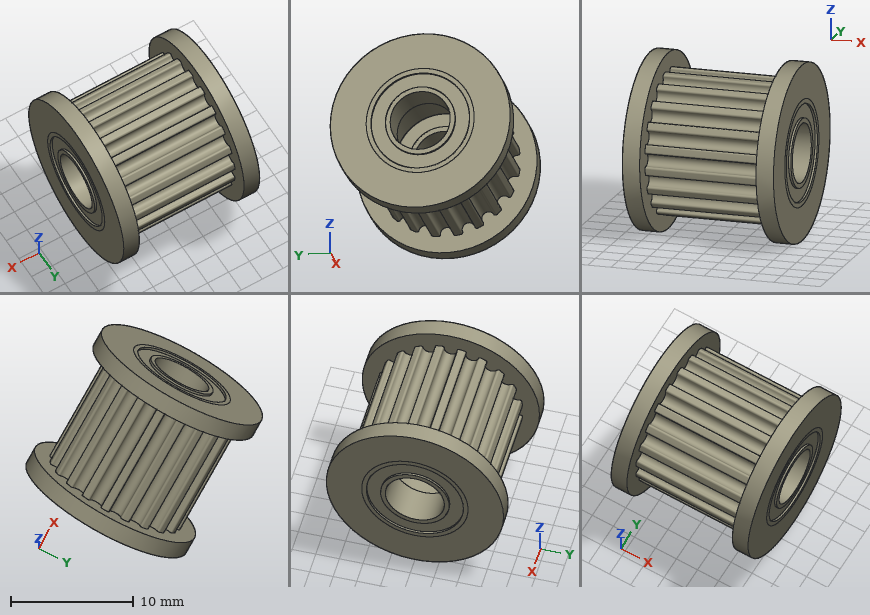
import cadquery as cq
import math


flange_diameter = 15.0
flange_width = 1.5
tooth_face_width = 10.0
pulley_width = tooth_face_width + 2 * flange_width
through_bore_diameter = 8.0

tooth_count = 20
tooth_pitch_angle = 2 * math.pi / tooth_count
tip_diameter = 12.22
tip_radius = tip_diameter / 2
groove_depth = 0.8
groove_diameter = 1.1
groove_radius = groove_diameter / 2
tooth_corner_radius = 0.16

bearing_outer_diameter = 9.0
bearing_bore_diameter = 5.0
bearing_width = 3.0
shield_outer_diameter = 8.2
shield_inner_diameter = 5.8
shield_recess = 0.2

bearing_starts = (-pulley_width / 2, pulley_width / 2 - bearing_width)


def cylinder_x(diameter, start_x, length):
    """Cylinder along X, starting at start_x and running towards +X."""
    return cq.Workplane("YZ", origin=(start_x, 0, 0)).circle(diameter / 2).extrude(length)


def ring_x(outer_diameter, inner_diameter, start_x, length):
    """Ring along X, starting at start_x and running towards +X."""
    profile = cq.Workplane("YZ", origin=(start_x, 0, 0)).circle(outer_diameter / 2).circle(inner_diameter / 2)
    return profile.extrude(length)


def point_towards(start, end, distance):
    """Point on the line from start through end, at the given distance from start."""
    scale = distance / math.dist(start, end)
    return (start[0] + scale * (end[0] - start[0]), start[1] + scale * (end[1] - start[1]))


def mirrored(point):
    """Point mirrored across the groove centre line."""
    return (-point[0], point[1])


def rotated(point, angle):
    """Point turned about the axis by an angle in radians."""
    x, y = point
    return (x * math.cos(angle) - y * math.sin(angle), x * math.sin(angle) + y * math.cos(angle))


def left_groove_points():
    """Left half of a groove centred on +V: tip end, corner middle, groove start."""
    axis = (0.0, 0.0)
    groove_centre = (0.0, tip_radius - groove_depth + groove_radius)

    axis_reach = tip_radius - tooth_corner_radius
    groove_reach = groove_radius + tooth_corner_radius
    corner_y = (axis_reach ** 2 - groove_reach ** 2 + groove_centre[1] ** 2) / (2 * groove_centre[1])
    corner_centre = (-math.sqrt(axis_reach ** 2 - corner_y ** 2), corner_y)

    tip_end = point_towards(axis, corner_centre, tip_radius)
    groove_start = point_towards(groove_centre, corner_centre, groove_radius)
    chord_middle = ((tip_end[0] + groove_start[0]) / 2, (tip_end[1] + groove_start[1]) / 2)
    corner_middle = point_towards(corner_centre, chord_middle, tooth_corner_radius)
    return [tip_end, corner_middle, groove_start]


def make_toothed_drum():
    """Drum with a groove centred on each multiple of the tooth pitch angle."""
    tip_end, corner_middle, groove_start = left_groove_points()
    groove_bottom = (0.0, tip_radius - groove_depth)
    tip_middle = rotated((0.0, tip_radius), -tooth_pitch_angle / 2)

    arcs = [
        (corner_middle, groove_start),
        (groove_bottom, mirrored(groove_start)),
        (mirrored(corner_middle), mirrored(tip_end)),
        (tip_middle, rotated(tip_end, -tooth_pitch_angle)),
    ]

    outline = cq.Workplane("YZ", origin=(-tooth_face_width / 2, 0, 0)).moveTo(*tip_end)
    for tooth in range(tooth_count):
        turn = -tooth * tooth_pitch_angle
        for middle, end in arcs:
            outline = outline.threePointArc(rotated(middle, turn), rotated(end, turn))
    return outline.close().extrude(tooth_face_width)


def make_pulley():
    """Toothed drum between two flanges, bored through, with a bearing seat in each end."""
    pulley = make_toothed_drum()
    for flange_start in (-pulley_width / 2, tooth_face_width / 2):
        pulley = pulley.union(cylinder_x(flange_diameter, flange_start, flange_width))
    pulley = pulley.cut(cylinder_x(through_bore_diameter, -pulley_width / 2, pulley_width))
    for seat_start in bearing_starts:
        pulley = pulley.cut(cylinder_x(bearing_outer_diameter, seat_start, bearing_width))
    return pulley


def make_bearing(start_x):
    """Bearing ring with a shallow shield recess in both faces."""
    bearing = ring_x(bearing_outer_diameter, bearing_bore_diameter, start_x, bearing_width)
    for recess_start in (start_x, start_x + bearing_width - shield_recess):
        recess = ring_x(shield_outer_diameter, shield_inner_diameter, recess_start, shield_recess)
        bearing = bearing.cut(recess)
    return bearing


pulley = make_pulley()
bearings = [make_bearing(start_x) for start_x in bearing_starts]

result = cq.Compound.makeCompound([pulley.val(), *[bearing.val() for bearing in bearings]])